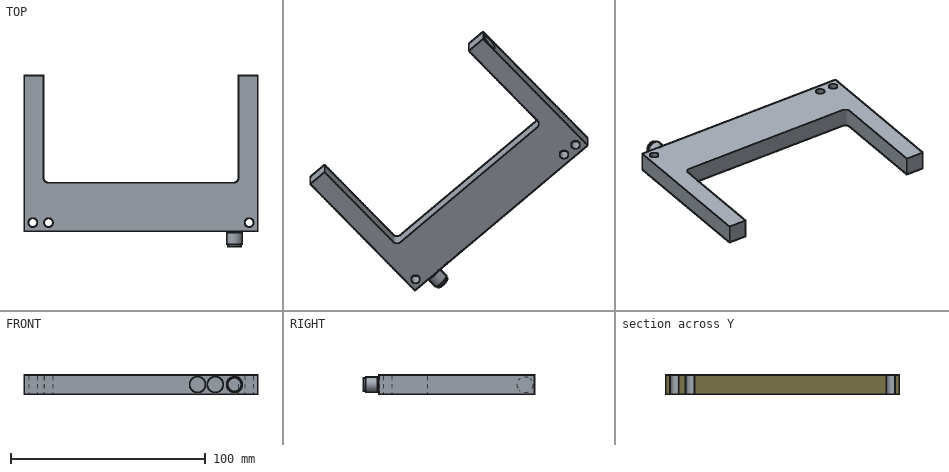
import cadquery as cq

width = 120.0
depth = 80.0
thickness = 10.0
arm_width = 10.0
bridge_depth = 25.0
inner_corner_radius = 2.5

hole_diameter = 4.5
hole_inset = 4.5
hole_pitch = 8.0

window_diameter = 8.2
window_depth = 0.1
front_window_positions = (89.0, 98.2)
arm_window_inset = 5.0

connector_x = 108.0
connector_diameter = 8.0
connector_step_diameter = 7.0
connector_length = 7.9
neck_length = 0.7
tip_length = 1.3


def fork_body():
    body = cq.Workplane("XY").box(width, depth, thickness, centered=(False, False, True))
    opening = (
        cq.Workplane("XY")
        .box(width - 2 * arm_width, depth - bridge_depth, thickness, centered=(False, False, True))
        .translate((arm_width, bridge_depth, 0))
        .edges("|Z and <Y")
        .fillet(inner_corner_radius)
    )
    return body.cut(opening)


def mounting_holes():
    hole_positions = [
        (hole_inset, hole_inset),
        (hole_inset + hole_pitch, hole_inset),
        (width - hole_inset, hole_inset),
    ]
    return (
        cq.Workplane("XY")
        .pushPoints(hole_positions)
        .circle(hole_diameter / 2)
        .extrude(thickness / 2, both=True)
    )


def cylinder(start, direction, diameter, length):
    return cq.Workplane(
        cq.Solid.makeCylinder(diameter / 2, length, cq.Vector(*start), cq.Vector(*direction))
    )


def connector():
    outward = (0, -1, 0)
    collar_length = connector_length - neck_length - tip_length
    core = cylinder((connector_x, 0, 0), outward, connector_step_diameter, connector_length)
    collar = cylinder((connector_x, -neck_length, 0), outward, connector_diameter, collar_length)
    return core.union(collar)


result = fork_body().cut(mounting_holes())

for window_x in front_window_positions:
    result = result.cut(cylinder((window_x, 0, 0), (0, 1, 0), window_diameter, window_depth))

arm_window_start = (0, depth - arm_window_inset, 0)
result = result.cut(cylinder(arm_window_start, (1, 0, 0), window_diameter, window_depth))

result = result.union(connector())